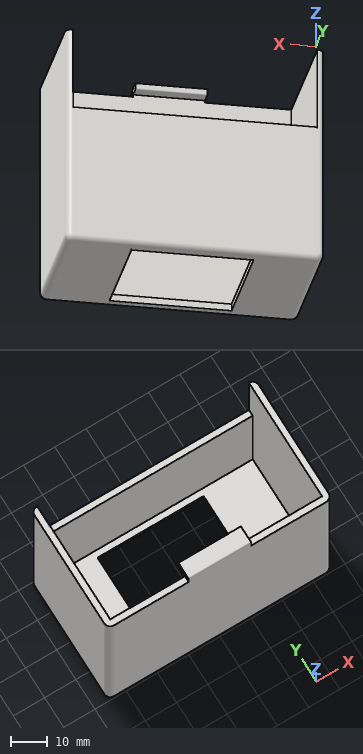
import cadquery as cq

length = 71.8
width = 40.3
total_height = 66.05
wall = 2.0
corner_radius = 2.0

tab_length = 20.0
tab_depth = 5.6
tab_thickness = 2.0
tab_gap = 0.6
tab_radius = 0.5

wall_height = total_height - tab_thickness - tab_gap
inner_length = length - 2 * wall
inner_width = width - 2 * wall

rear_drop = 23.55

window_length = inner_length / 2
window_width = inner_width - 2 * wall


def make_shell():
    """Open-topped box with rounded vertical and bottom edges."""
    outer = cq.Workplane("XY").box(length, width, wall_height, centered=(True, True, False))
    outer = outer.edges("|Z or <Z").fillet(corner_radius)
    cavity = (
        cq.Workplane("XY")
        .workplane(offset=wall)
        .rect(inner_length, inner_width)
        .extrude(wall_height)
    )
    return outer.cut(cavity)


def make_floor_window():
    return cq.Workplane("XY").rect(window_length, window_width).extrude(wall)


def make_rear_cutout():
    """Opening between the side walls that lowers the rear wall."""
    return (
        cq.Workplane("XY")
        .workplane(offset=wall_height - rear_drop)
        .center(0, (width - wall) / 2)
        .rect(inner_length, wall)
        .extrude(rear_drop)
    )


def make_tab():
    """Inward-hooked tab with rounded lip edges, rising from the front wall."""
    front = -width / 2
    lip = (
        cq.Workplane("XY")
        .workplane(offset=wall_height + tab_gap)
        .center(0, front + tab_depth / 2)
        .rect(tab_length, tab_depth)
        .extrude(tab_thickness)
        .edges("|X and (>Z or >Y)")
        .fillet(tab_radius)
    )
    stem = (
        cq.Workplane("XY")
        .workplane(offset=wall_height)
        .center(0, front + wall / 2)
        .rect(tab_length, wall)
        .extrude(tab_gap + tab_thickness / 2)
    )
    return lip.union(stem)


result = make_shell().cut(make_floor_window()).cut(make_rear_cutout()).union(make_tab())